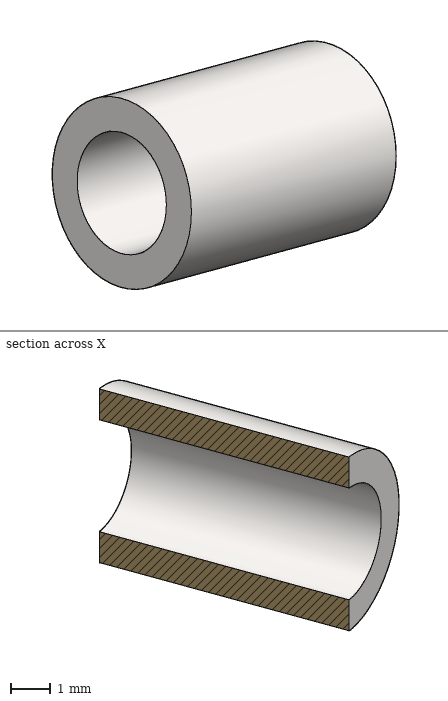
import cadquery as cq

length = 7.37
outer_diameter = 5.0
bore_diameter = 3.2

result = (
    cq.Workplane("XZ", origin=(0, length / 2, 0))
    .circle(outer_diameter / 2)
    .circle(bore_diameter / 2)
    .extrude(length)
)